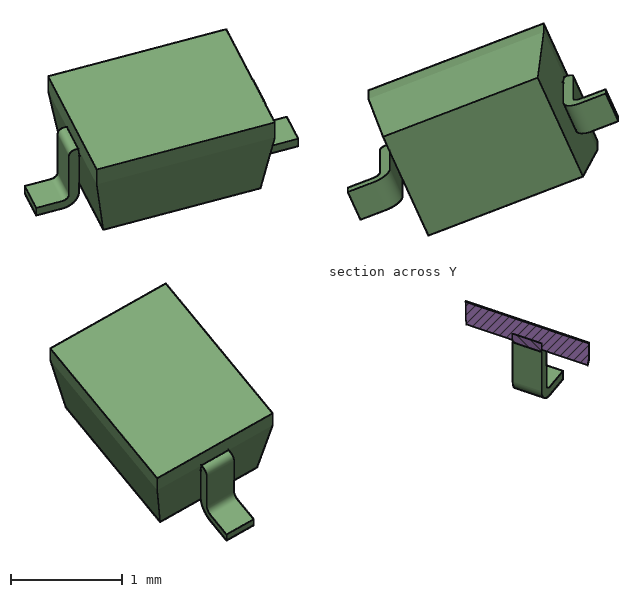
import cadquery as cq
import math

housing_width = 1.25
housing_length = 1.7
housing_height = 0.9
cap_height = 0.19
taper_inset = 0.1
parting_height = housing_height - cap_height

overall_length = 2.5
lead_width = 0.295
lead_thickness = 0.098
lead_outer_face = 0.938
shoulder_radius = 0.062
foot_inner_radius = 0.062

foot_outer_radius = foot_inner_radius + lead_thickness
lead_inner_face = lead_outer_face - lead_thickness
foot_tip = overall_length / 2
diagonal = math.sqrt(0.5)


def make_lead_frame():
    """Bend half of the strip in the YZ plane, then mirror it into one solid."""
    strip_underside = parting_height - lead_thickness
    bend_y = lead_outer_face + foot_inner_radius
    bend_z = foot_outer_radius
    shoulder_y = lead_outer_face - shoulder_radius
    shoulder_z = parting_height - shoulder_radius

    def bend_middle(radius):
        return (bend_y - radius * diagonal, bend_z - radius * diagonal)

    half = (
        cq.Workplane("YZ")
        .moveTo(0, strip_underside)
        .lineTo(lead_inner_face, strip_underside)
        .lineTo(lead_inner_face, bend_z)
        .threePointArc(bend_middle(foot_outer_radius), (bend_y, 0))
        .lineTo(foot_tip, 0)
        .lineTo(foot_tip, lead_thickness)
        .lineTo(bend_y, lead_thickness)
        .threePointArc(bend_middle(foot_inner_radius), (lead_outer_face, bend_z))
        .lineTo(lead_outer_face, shoulder_z)
        .threePointArc(
            (shoulder_y + shoulder_radius * diagonal, shoulder_z + shoulder_radius * diagonal),
            (shoulder_y, parting_height),
        )
        .lineTo(0, parting_height)
        .close()
        .extrude(lead_width / 2, both=True)
    )
    return half.union(half.mirror("XZ")).clean()


def make_housing(lead_frame):
    """Join the cap and tapered body, then cut the passage filled by the lead frame."""
    tapered_body = (
        cq.Workplane("XY")
        .rect(housing_width - 2 * taper_inset, housing_length - 2 * taper_inset)
        .workplane(offset=parting_height)
        .rect(housing_width, housing_length)
        .loft(ruled=True)
    )
    cap = (
        cq.Workplane("XY")
        .workplane(offset=parting_height)
        .rect(housing_width, housing_length)
        .extrude(cap_height)
    )
    return tapered_body.union(cap).cut(lead_frame)


lead_frame = make_lead_frame()
housing = make_housing(lead_frame)

result = cq.Compound.makeCompound([*housing.solids().vals(), *lead_frame.solids().vals()])